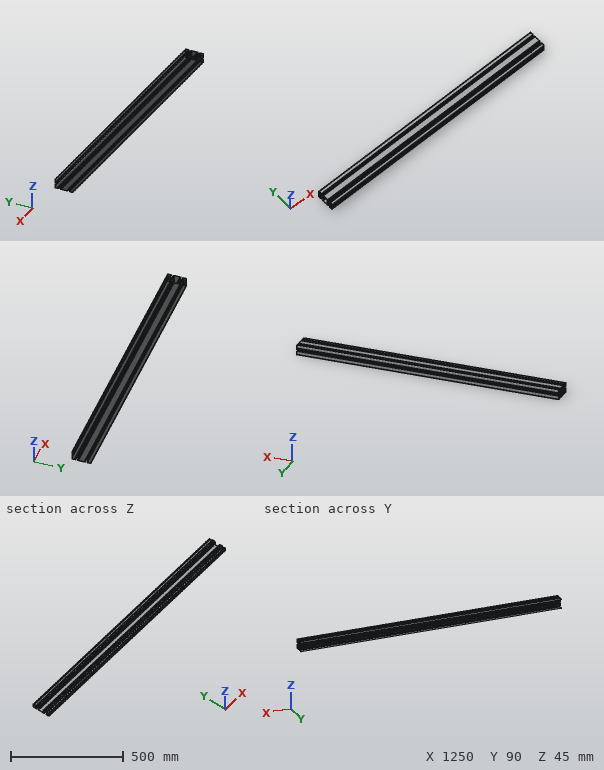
import cadquery as cq

length = 1250.0
height = 45.0
width = 2 * height
half_cell = height / 2
outer_radius = 2.0

slot_width = 9.0
lip_thickness = 4.5
cavity_width = 14.0
cavity_depth = 14.0
floor_width = 12.0
core_size = 14.0
core_bore_diameter = 6.0

corner_wall = 1.4
corner_hole_size = 11.0
corner_hole_radius = 4.0

chamber_wall = 1.8
rail_thickness = 4.0
recess_depth = 1.8
recess_height = 8.0
gap_depth = 4.5
gap_height = 9.0


def extrude_outline(points):
    """Extrude a closed (y, z) outline over the full length."""
    return cq.Workplane("YZ", origin=(-length / 2, 0, 0)).polyline(points).close().extrude(length)


def slot_outline():
    """Half of a T-slot as (offset from its centre line, distance from the cell centre)."""
    floor = core_size / 2
    taper_start = half_cell - cavity_depth
    return [
        (slot_width / 2, half_cell),
        (slot_width / 2, half_cell - lip_thickness),
        (cavity_width / 2, half_cell - lip_thickness),
        (cavity_width / 2, taper_start),
        (floor_width / 2, floor),
    ]


def cut_slots(body):
    """Cut a slot into the top, the bottom and the outer side of each cell."""
    half = slot_outline()
    outline = half + [(-offset, distance) for offset, distance in reversed(half)]
    for side in (-1, 1):
        cell_y = side * half_cell
        body = body.cut(extrude_outline([(cell_y + side * d, t) for t, d in outline]))
        for level in (-1, 1):
            body = body.cut(extrude_outline([(cell_y + t, level * d) for t, d in outline]))
    return body


def cut_core_bores(body):
    """Bore the two cores along the whole length."""
    bores = (
        cq.Workplane("YZ", origin=(-length / 2, 0, 0))
        .pushPoints([(-half_cell, 0), (half_cell, 0)])
        .circle(core_bore_diameter / 2)
        .extrude(length)
    )
    return body.cut(bores)


def cut_corner_holes(body):
    """Hollow out the four corner blocks."""
    inset = corner_wall + corner_hole_size / 2
    hole = cq.Workplane("XY").box(length, corner_hole_size, corner_hole_size)
    hole = hole.edges("|X").fillet(corner_hole_radius)
    for side in (-1, 1):
        for level in (-1, 1):
            position = (0, side * (width / 2 - inset), level * (height / 2 - inset))
            body = body.cut(hole.translate(position))
    return body


def cut_chamber(body):
    """Open the central chamber, widened at the top, at the bottom and between the rails."""
    chamber_height = height - 2 * chamber_wall
    rail_y = half_cell - cavity_width / 2 - rail_thickness
    recess_width = 2 * (rail_y + recess_depth)
    recess_z = (chamber_height - recess_height) / 2
    gap_width = 2 * (rail_y + gap_depth)
    chamber = cq.Workplane("XY").box(length, 2 * rail_y, chamber_height)
    chamber = chamber.union(cq.Workplane("XY").box(length, gap_width, gap_height))
    recess = cq.Workplane("XY").box(length, recess_width, recess_height)
    for level in (-1, 1):
        chamber = chamber.union(recess.translate((0, 0, level * recess_z)))
    return body.cut(chamber)


result = cq.Workplane("XY").box(length, width, height).edges("|X").fillet(outer_radius)
result = cut_slots(result)
result = cut_core_bores(result)
result = cut_corner_holes(result)
result = cut_chamber(result)